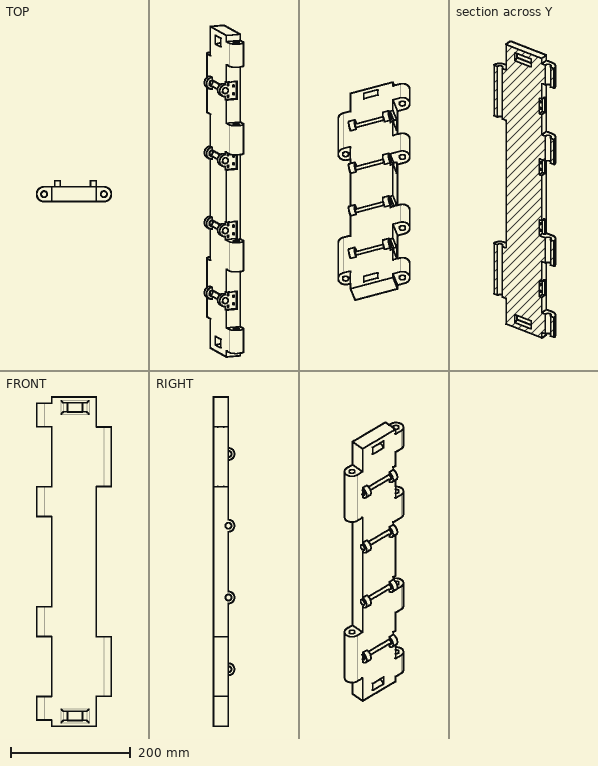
import cadquery as cq

length = 550.0
overall_width = 125.0
overall_depth = 35.0
body_width = 75.0
knuckle_reach = (overall_width - body_width) / 2
body_thickness = knuckle_reach

knuckle_pitch = length / 11
knuckle_radius = body_thickness / 2
pin_diameter = 10.0
end_setback = 10.5

lug_thickness = 10.0
lug_radius = overall_depth - body_thickness
lug_hole_diameter = 10.0

recess_depth = 5.0
recess_length = 30.0
recess_extent = 20.0
screw_diameter = 3.0
screw_inner_depth = 5.0
screw_outer_depth = 15.0
screw_wide_offset = 10.0
screw_narrow_offset = 6.5

window_offset = 1.5
window_end_distance = 17.5
window_height = 15.0
window_front_width = 41.0
window_back_width = 25.0
window_rounding = 4.5

half_length = length / 2
half_width = body_width / 2
pin_x = half_width + knuckle_reach - knuckle_radius

inner_knuckle_end = half_length - 4 * knuckle_pitch
lug_spacing = 2 * (inner_knuckle_end - recess_length / 2)
lug_centers = [(i - 1.5) * lug_spacing for i in range(4)]


def box(x_range, y_range, z_range):
    """Axis-aligned block between the given limits."""
    sizes = [high - low for low, high in (x_range, y_range, z_range)]
    corner = (x_range[0], y_range[0], z_range[0])
    return cq.Workplane("XY").box(*sizes, centered=False).translate(corner)


def x_cylinder(diameter, x_range, y, z):
    """Round bar along X."""
    start = cq.Vector(x_range[0], y, z)
    span = x_range[1] - x_range[0]
    return cq.Workplane(cq.Solid.makeCylinder(diameter / 2, span, start, cq.Vector(1, 0, 0)))


def knuckle(side, bottom, top):
    """Round-nosed hinge knuckle with a pin hole; side is -1 or +1 along X."""
    return (
        cq.Workplane("XY", origin=(0, 0, bottom))
        .moveTo(side * half_width, 0)
        .lineTo(side * pin_x, 0)
        .threePointArc(
            (side * (pin_x + knuckle_radius), knuckle_radius),
            (side * pin_x, body_thickness),
        )
        .lineTo(side * half_width, body_thickness)
        .close()
        .moveTo(side * pin_x, knuckle_radius)
        .circle(pin_diameter / 2)
        .extrude(top - bottom)
    )


def window(end):
    """Cutter for one hand window; end is -1 or +1 along Z.

    The side walls converge towards the back, the floor and roof are level.
    """
    z_center = end * (half_length - window_end_distance)
    front = window_front_width / 2
    back = window_back_width / 2
    return (
        cq.Workplane("XY", origin=(window_offset, 0, z_center - window_height / 2))
        .polyline([(-front, 0), (front, 0), (back, body_thickness), (-back, body_thickness)])
        .close()
        .extrude(window_height)
    )


body = box((-half_width, half_width), (0, body_thickness), (-half_length, half_length))
for end in (-1, 1):
    body = body.cut(window(end))
rim_edges = [edge for wire in body.faces("<Y").val().innerWires() for edge in wire.Edges()]
body = body.newObject(rim_edges).fillet(window_rounding)

lug_face = -half_width + recess_depth
screw_span = (lug_face, lug_face + lug_thickness)
recess_y = (body_thickness - recess_extent, body_thickness)
for z in lug_centers:
    recess_z = (z - recess_length / 2, z + recess_length / 2)
    body = body.cut(box((-half_width, lug_face), recess_y, recess_z))

    for x in (lug_face, half_width - lug_thickness):
        body = body.union(x_cylinder(2 * lug_radius, (x, x + lug_thickness), body_thickness, z))

    body = body.cut(x_cylinder(lug_hole_diameter, (-half_width, half_width), body_thickness, z))

    for depth, offset in (
        (screw_inner_depth, screw_wide_offset),
        (screw_outer_depth, screw_narrow_offset),
    ):
        for side in (-1, 1):
            screw_z = z + side * offset
            body = body.cut(x_cylinder(screw_diameter, screw_span, body_thickness - depth, screw_z))

for end in (-1, 1):
    for side, inner, outer in (
        (-1, inner_knuckle_end, half_length - 3 * knuckle_pitch),
        (-1, half_length - knuckle_pitch, half_length - end_setback),
        (1, half_length - 3 * knuckle_pitch, half_length - knuckle_pitch),
    ):
        bottom, top = sorted((end * inner, end * outer))
        body = body.union(knuckle(side, bottom, top))

result = body